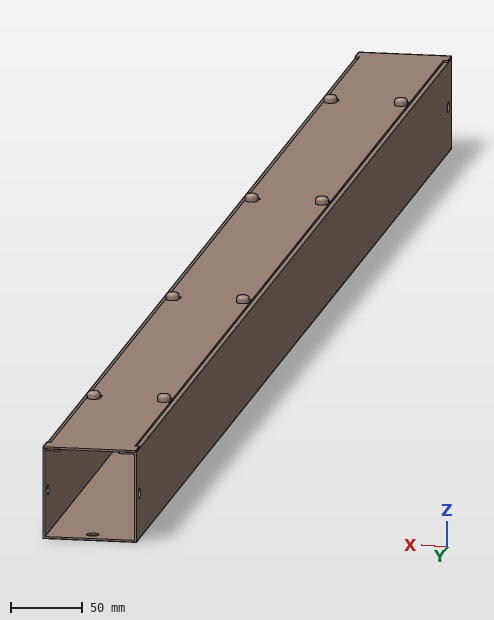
import cadquery as cq

sheet = 1.5

trough_length = 1217.0
inner_width = 63.0
trough_height = 65.0
lip_width = 12.0
trough_width = inner_width + 2 * sheet

cover_length = 1219.0
cover_width = 60.0
cover_end_width = 66.0
cover_end_length = 15.0
cover_bottom = trough_height
cover_top = cover_bottom + sheet

head_diameter = 9.1
head_height = 5.0
head_edge_radius = 2.0
shank_diameter = 5.0
shank_length = 6.0
screws_per_row = 4
screw_spacing = cover_length / screws_per_row
row_spacing = 50.0
screw_places = [
    (x, (i - (screws_per_row - 1) / 2) * screw_spacing)
    for x in (-row_spacing / 2, row_spacing / 2)
    for i in range(screws_per_row)
]

entry_diameter = 9.4
entry_offset = 6.0

wall_hole_diameter = 7.0
floor_hole_diameter = 9.0
hole_end_distance = 12.0
hole_y = trough_length / 2 - hole_end_distance


def bar(bar_width, length, bottom, top):
    """Lengthwise rectangular bar centred on the Z axis."""
    return cq.Workplane("XY").workplane(offset=bottom).rect(bar_width, length).extrude(top - bottom)


def cylinders(places, diameter, bottom, top):
    """Upright cylinders at the given (x, y) places."""
    plane = cq.Workplane("XY").workplane(offset=bottom).pushPoints(places)
    return plane.circle(diameter / 2).extrude(top - bottom)


def make_trough():
    body = bar(trough_width, trough_length, 0, trough_height)
    body = body.cut(bar(inner_width, trough_length, sheet, trough_height - sheet))
    body = body.cut(bar(trough_width - 2 * lip_width, trough_length, sheet, trough_height))
    body = body.cut(cylinders([(0, -hole_y), (0, hole_y)], floor_hole_diameter, 0, sheet))
    for y in (-hole_y, hole_y):
        wall_hole = cq.Workplane("YZ").center(y, trough_height / 2).circle(wall_hole_diameter / 2)
        body = body.cut(wall_hole.extrude(trough_width, both=True))
    return body.cut(cylinders(screw_places, shank_diameter, trough_height - sheet, trough_height))


def make_keyholes():
    entry_places = [(x, y - entry_offset) for x, y in screw_places]
    neck_places = [(x, y - entry_offset / 2) for x, y in screw_places]
    necks = cq.Workplane("XY").workplane(offset=cover_bottom).pushPoints(neck_places)
    necks = necks.rect(shank_diameter, entry_offset).extrude(sheet)
    seats = cylinders(screw_places, shank_diameter, cover_bottom, cover_top)
    entries = cylinders(entry_places, entry_diameter, cover_bottom, cover_top)
    return seats.union(necks).union(entries)


def make_cover():
    body = bar(cover_width, cover_length, cover_bottom, cover_top)
    ends = bar(cover_end_width, cover_length, cover_bottom, cover_top).cut(
        bar(cover_end_width, cover_length - 2 * cover_end_length, cover_bottom, cover_top)
    )
    return body.union(ends).cut(make_keyholes())


def make_screw(place):
    head = cylinders([place], head_diameter, cover_top, cover_top + head_height)
    head = head.faces(">Z").edges().fillet(head_edge_radius)
    shank = cylinders([place], shank_diameter, cover_top - shank_length, cover_top)
    return head.union(shank)


trough = make_trough()
cover = make_cover()
screws = [make_screw(place) for place in screw_places]
result = cq.Compound.makeCompound([trough.val(), cover.val(), *[screw.val() for screw in screws]])